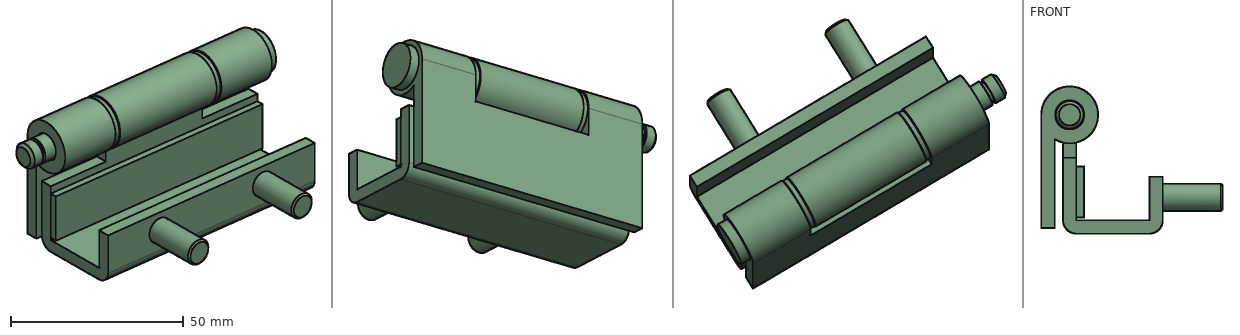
import cadquery as cq


sheet = 4.0
leaf_length = 80.0
knuckle_radius = 8.3
leaf_bottom = -32.8
pin_radius = 8.0 / 2
bore_radius = 4.2

gap_length = 41.0
gap_start = (leaf_length - gap_length) / 2
gap_end = gap_start + gap_length
notch_clearance = 0.2
washer_thickness = 1.5
washer_clearance = 0.2
washer_radius = 8.0
washer_space = washer_thickness + 2 * washer_clearance
middle_start = gap_start + washer_space
middle_length = gap_length - 2 * washer_space

channel_left = -sheet / 2
channel_right = 27.05
channel_bottom = -34.5
left_wall_top = -12.4
right_wall_top = -17.9
bend_radius = sheet

plate_thickness = 2.2
plate_top = -14.9
plate_bottom = -29.8

stud_radius = 8.0 / 2
stud_length = 17.4
stud_chamfer = 0.55
stud_height = -23.9
stud_spacing = 40.0
stud_positions = [(leaf_length + side * stud_spacing) / 2 for side in (-1, 1)]

head_radius = 6.7
head_thickness = 3.0
overall_length = 92.0
tip_length = overall_length - leaf_length - head_thickness
groove_start = 3.9
groove_width = 1.0
groove_radius = 3.1
tip_chamfer = 0.9


def box(x_min, x_max, y_min, y_max, z_min, z_max):
    size = (x_max - x_min, y_max - y_min, z_max - z_min)
    return cq.Workplane("XY").box(*size, centered=False).translate((x_min, y_min, z_min))


def cylinder_y(radius, start, length):
    """Cylinder about the hinge axis, running from Y = start towards +Y."""
    return cq.Workplane("XZ", origin=(0, start, 0)).circle(radius).extrude(-length)


def pin_bore():
    return cylinder_y(bore_radius, 0, leaf_length)


def make_flat_leaf():
    """Flat plate tangent to two outer knuckles, notched for the middle knuckle."""
    plate = box(-knuckle_radius, -knuckle_radius + sheet, 0, leaf_length, leaf_bottom, 0)
    notch_floor = -knuckle_radius - notch_clearance
    notch = box(
        -knuckle_radius, knuckle_radius, gap_start, gap_end, notch_floor, knuckle_radius
    )
    return plate.union(cylinder_y(knuckle_radius, 0, leaf_length)).cut(notch).cut(pin_bore())


def make_channel_leaf():
    """U-channel with a web rising from its left wall to the middle knuckle."""
    outer = box(channel_left, channel_right, 0, leaf_length, channel_bottom, left_wall_top)
    outer = outer.edges("|Y and <Z").fillet(bend_radius)
    inner_right = channel_right - sheet
    cavity = box(
        channel_left + sheet, inner_right, 0, leaf_length, channel_bottom + sheet, left_wall_top
    )
    above_right_wall = box(inner_right, channel_right, 0, leaf_length, right_wall_top, left_wall_top)
    middle_end = middle_start + middle_length
    web = box(channel_left, channel_left + sheet, middle_start, middle_end, left_wall_top, 0)
    knuckle = cylinder_y(knuckle_radius, middle_start, middle_length)
    channel = outer.cut(cavity).cut(above_right_wall)
    return channel.union(web).union(knuckle).cut(pin_bore())


def make_washer(start):
    return cylinder_y(washer_radius, start, washer_thickness).cut(pin_bore())


def make_backing_plate():
    wall_face = channel_left + sheet
    return box(wall_face, wall_face + plate_thickness, 0, leaf_length, plate_bottom, plate_top)


def make_stud(y):
    base = cq.Workplane("YZ", origin=(channel_right, y, stud_height))
    return base.circle(stud_radius).extrude(stud_length).faces(">X").chamfer(stud_chamfer)


def make_pin():
    """Headed pin with a retaining-ring groove and a chamfered tip."""
    shank = cylinder_y(pin_radius, -tip_length, tip_length + leaf_length)
    shank = shank.faces("<Y").chamfer(tip_chamfer)
    groove_y = -groove_start - groove_width
    groove = cylinder_y(pin_radius, groove_y, groove_width)
    groove = groove.cut(cylinder_y(groove_radius, groove_y, groove_width))
    head = cylinder_y(head_radius, leaf_length, head_thickness)
    return shank.cut(groove).union(head)


flat_leaf = make_flat_leaf()
channel_leaf = make_channel_leaf()
backing_plate = make_backing_plate()
pin = make_pin()
washers = [make_washer(space + washer_clearance) for space in (gap_start, gap_end - washer_space)]
studs = [make_stud(y) for y in stud_positions]

result = cq.Compound.makeCompound(
    [body.val() for body in (flat_leaf, channel_leaf, backing_plate, pin, *washers, *studs)]
)